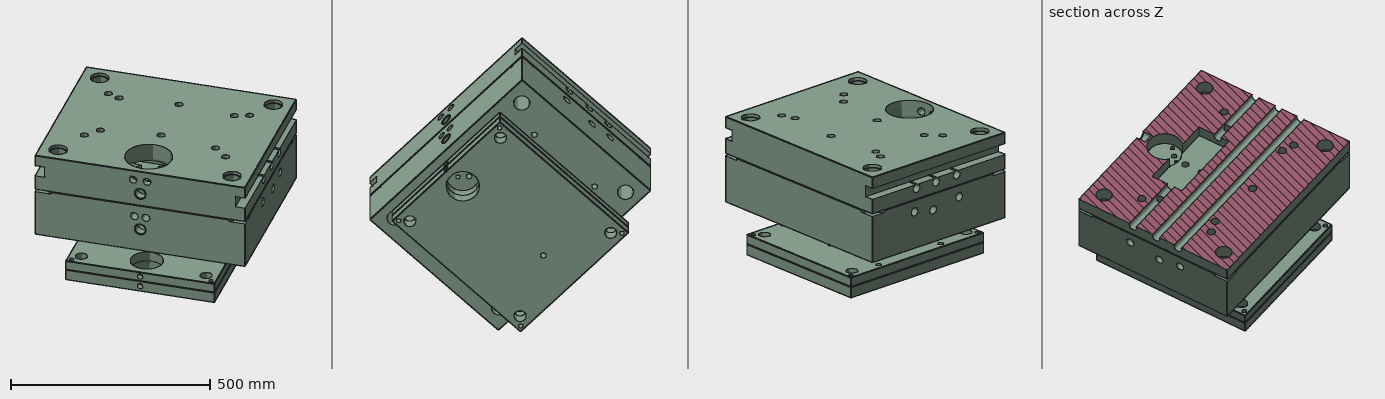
import cadquery as cq
LENGTH = 550.0
WIDTH = 450.0
SMALL_LENGTH = 390.0
BASE_THICK = 30.0
RETAINER_THICK = 26.0
BLOCK_BOTTOM = 119.5
BLOCK_TOP = 251.0
TOP = 351.0
EDGE_CHAMFER = 1.5

SLOT_TOP = TOP - 30.0
SLOT_HEIGHT = 29.5
SLOT_DEPTH = 25.5

PRY_LEG = 42.0
PRY_DEPTH = 6.0

GUIDE_X = 227.0
GUIDE_Y = 182.0
GUIDE_OFFSET_Y = -180.0
GUIDE_DIA = 40.0
GUIDE_RECESS_DIA = 46.0
GUIDE_RECESS_DEPTH = 8.0
GUIDE_POINTS = [
    (-GUIDE_X, GUIDE_Y),
    (GUIDE_X, GUIDE_Y),
    (-GUIDE_X, -GUIDE_Y),
    (GUIDE_X, GUIDE_OFFSET_Y),
]

SCREW_DIA = 20.0
SCREW_CORE_DIA = 14.5
SCREW_X = 185.0
SCREW_BACK_Y = 115.5
SCREW_FRONT_Y = -94.5
MIDDLE_SCREW_Y = -40.0
SCREW_POINTS = [
    (x, y) for x in (-SCREW_X, SCREW_X) for y in (SCREW_BACK_Y, SCREW_FRONT_Y)
]
MIDDLE_POINTS = [(0, SCREW_BACK_Y), (0, MIDDLE_SCREW_Y)]
PIN_DIA = 20.0
PIN_LEFT_X = -153.0
PIN_RIGHT_X = 148.5
PIN_BACK_Y = 103.0
PIN_FRONT_Y = -61.0
PIN_POINTS = [
    (x, y) for x in (PIN_LEFT_X, PIN_RIGHT_X) for y in (PIN_BACK_Y, PIN_FRONT_Y)
]

CAVITY_Y = -149.5
CAVITY_DIA = 120.0
CAVITY_DEPTH = 49.0
CAVITY_FILLET = 5.0
CAVITY_BORE_DIA = 89.0

POCKET_FRONT_Y = -116.0
POCKET_BACK_Y = -27.5
POCKET_LENGTH = 209.0
POCKET_CEILING = TOP - 47.0
PAD_HEIGHT = 5.5
PAD_CLEARANCE_DIA = 83.0
PAD_HOLE_DIA = 17.5
PAD_HOLE_Y = -87.5
PAD_HOLE_DEPTH = 33.0

CORE_SIDE_DIA = 10.5
CORE_SIDE_X = 34.0
CORE_FEED_DIA = 14.0
CORE_FEED_POINTS = [(-13.0, -130.5), (24.0, -171.0)]
CORE_BACK_DIA = 7.0
CORE_BACK_Y = -115.5

CHANNEL_DIA = 22.0
TOP_CHANNEL_Z = 280.5
TOP_CHANNELS = [(y, TOP_CHANNEL_Z) for y in (75.5, 9.5, -60.5)]
MIDDLE_CHANNELS = [(82.0, 219.0), (19.0, 207.5), (-69.0, 219.0)]

PORT_DIA = 20.0
TOP_PORT_X = 18.0
TOP_PORT_Z = 324.0
MIDDLE_PORT_X = 15.0
MIDDLE_PORT_Z = 218.0
PORT_DEPTH = 38.5
LIFT_DIA = 30.0
LIFT_CORE_DIA = 26.5
LIFT_MOUTH_DEPTH = 2.0
LIFT_DEPTH = 25.0
LIFT_TIP = 7.5
TOP_LIFT_Z = 285.0
MIDDLE_LIFT_Z = 181.0

OPENING_DIA = 83.0
OPENING_Y = -165.5
PLATE_PORT_DIA = 14.5
PLATE_SCREW_DIA = 30.0
PLATE_SCREW_X = 163.5
PLATE_SCREW_Y = 192.5
SOCKET_DIA = 14.0
SOCKET_X = 177.5
SOCKET_POINTS = [(x, y) for x in (-SOCKET_X, SOCKET_X) for y in (SCREW_BACK_Y, SCREW_FRONT_Y)]
PLATE_PIN_DIA = 11.0
PLATE_PIN_X = 182.0
PLATE_PIN_Y = 213.5

FRONT = -WIDTH / 2


def chamfered_plate(length, bottom, top):
    plate = cq.Workplane("XY").box(length, WIDTH, top - bottom, centered=(True, True, False))
    return plate.edges().chamfer(EDGE_CHAMFER).translate((0, 0, bottom))


def upright(points, diameter, bottom, top):
    """Vertical cylinders at the given (x, y) points."""
    return (
        cq.Workplane("XY", origin=(0, 0, bottom))
        .pushPoints(points)
        .circle(diameter / 2)
        .extrude(top - bottom)
    )


def front_drill(x, z, diameter, depth):
    """Cylinder running in from the front face."""
    return cq.Workplane("XZ", origin=(x, FRONT, z)).circle(diameter / 2).extrude(-depth)


def channels(points):
    """Channels along the whole X length at the given (y, z) points."""
    return (
        cq.Workplane("YZ", origin=(-LENGTH / 2, 0, 0))
        .pushPoints(points)
        .circle(CHANNEL_DIA / 2)
        .extrude(LENGTH)
    )


def lift_hole(z, tip):
    """Stepped hole in the front face with a cone of height `tip`, or a flat end when it is zero."""
    core = LIFT_CORE_DIA / 2
    mouth = LIFT_DIA / 2
    outline = [
        (0, 0),
        (mouth, 0),
        (mouth, LIFT_MOUTH_DEPTH),
        (core, LIFT_MOUTH_DEPTH),
        (core, LIFT_DEPTH),
    ]
    profile = cq.Workplane("XY").polyline(outline + [(0, LIFT_DEPTH + tip)]).close()
    return profile.revolve(360, (0, 0, 0), (0, 1, 0)).translate((0, FRONT, z))


def cavity():
    """Round recess with a filleted floor and a bore on to the parting plane."""
    centre = [(0, CAVITY_Y)]
    recess = upright(centre, CAVITY_DIA, TOP - CAVITY_DEPTH, TOP)
    recess = recess.faces("<Z").edges().fillet(CAVITY_FILLET)
    return recess.union(upright(centre, CAVITY_BORE_DIA, BLOCK_TOP, TOP))


def pocket_space(height):
    """The pocket's outline, raised from the parting plane by `height`."""
    middle_y = (POCKET_FRONT_Y + POCKET_BACK_Y) / 2
    return (
        cq.Workplane("XY", origin=(0, middle_y, BLOCK_TOP))
        .rect(POCKET_LENGTH, POCKET_BACK_Y - POCKET_FRONT_Y)
        .extrude(height)
    )


def pad():
    """Low pad with a round clearance around the cavity's bore."""
    top = BLOCK_TOP + PAD_HEIGHT
    clearance = upright([(0, CAVITY_Y)], PAD_CLEARANCE_DIA, BLOCK_TOP, top)
    return pocket_space(PAD_HEIGHT).cut(clearance)


def clamp_slots():
    slots = cq.Workplane("XY")
    for x in (-LENGTH / 2, LENGTH / 2):
        slots = slots.union(
            cq.Workplane("XY", origin=(x, 0, SLOT_TOP - SLOT_HEIGHT / 2)).box(2 * SLOT_DEPTH, WIDTH, SLOT_HEIGHT)
        )
    return slots


def pry_pockets():
    pockets = cq.Workplane("XY")
    for sx in (-1, 1):
        for sy in (-1, 1):
            x, y = sx * LENGTH / 2, sy * WIDTH / 2
            corner = [(x, y), (x - sx * PRY_LEG, y), (x, y - sy * PRY_LEG)]
            pockets = pockets.union(
                cq.Workplane("XY", origin=(0, 0, BLOCK_TOP)).polyline(corner).close().extrude(-PRY_DEPTH)
            )
    return pockets


def make_top_block():
    block = chamfered_plate(LENGTH, BLOCK_TOP, TOP)
    block = block.cut(clamp_slots()).cut(cavity()).cut(pocket_space(POCKET_CEILING - BLOCK_TOP))
    block = block.cut(upright(GUIDE_POINTS, GUIDE_DIA, BLOCK_TOP, TOP))
    block = block.cut(upright(GUIDE_POINTS, GUIDE_RECESS_DIA, TOP - GUIDE_RECESS_DEPTH, TOP))
    block = block.cut(upright(SCREW_POINTS + MIDDLE_POINTS, SCREW_DIA, BLOCK_TOP, TOP))
    block = block.cut(upright(PIN_POINTS, PIN_DIA, BLOCK_TOP, TOP))
    block = block.cut(channels(TOP_CHANNELS))
    for x in (-TOP_PORT_X, TOP_PORT_X):
        block = block.cut(front_drill(x, TOP_PORT_Z, PORT_DIA, CAVITY_Y - FRONT))
    return block.cut(lift_hole(TOP_LIFT_Z, 0))


def make_middle_block():
    block = chamfered_plate(LENGTH, BLOCK_BOTTOM, BLOCK_TOP).cut(pry_pockets()).union(pad())
    pad_top = BLOCK_TOP + PAD_HEIGHT
    core_side_points = [(-CORE_SIDE_X, CAVITY_Y), (CORE_SIDE_X, CAVITY_Y)]
    for points, diameter in (
        (GUIDE_POINTS, GUIDE_DIA),
        (SCREW_POINTS + MIDDLE_POINTS, SCREW_CORE_DIA),
        (core_side_points, CORE_SIDE_DIA),
        (CORE_FEED_POINTS, CORE_FEED_DIA),
        ([(0, CORE_BACK_Y)], CORE_BACK_DIA),
    ):
        block = block.cut(upright(points, diameter, BLOCK_BOTTOM, pad_top))
    block = block.cut(upright([(0, PAD_HOLE_Y)], PAD_HOLE_DIA, pad_top - PAD_HOLE_DEPTH, pad_top))
    block = block.cut(channels(MIDDLE_CHANNELS))
    for x in (-MIDDLE_PORT_X, MIDDLE_PORT_X):
        block = block.cut(front_drill(x, MIDDLE_PORT_Z, PORT_DIA, PORT_DEPTH))
    return block.cut(lift_hole(MIDDLE_LIFT_Z, LIFT_TIP))


def make_ejector_plate(bottom, thickness):
    top = bottom + thickness
    plate = chamfered_plate(SMALL_LENGTH, bottom, top)
    screws = [(x, y) for x in (-PLATE_SCREW_X, PLATE_SCREW_X) for y in (-PLATE_SCREW_Y, PLATE_SCREW_Y)]
    pins = [(x, y) for x in (-PLATE_PIN_X, PLATE_PIN_X) for y in (-PLATE_PIN_Y, PLATE_PIN_Y)]
    for points, diameter in (
        ([(0, OPENING_Y)], OPENING_DIA),
        ([(0, SCREW_BACK_Y)], SCREW_CORE_DIA),
        (screws, PLATE_SCREW_DIA),
        (pins, PLATE_PIN_DIA),
    ):
        plate = plate.cut(upright(points, diameter, bottom, top))
    return plate.cut(front_drill(0, bottom + thickness / 2, PLATE_PORT_DIA, OPENING_Y - FRONT))


base_plate = make_ejector_plate(0, BASE_THICK)
retainer_plate = make_ejector_plate(BASE_THICK, RETAINER_THICK).cut(
    upright(SOCKET_POINTS, SOCKET_DIA, BASE_THICK, BASE_THICK + RETAINER_THICK)
)
middle_block = make_middle_block()
top_block = make_top_block()

result = cq.Compound.makeCompound(
    [base_plate.val(), retainer_plate.val(), middle_block.val(), top_block.val()]
)